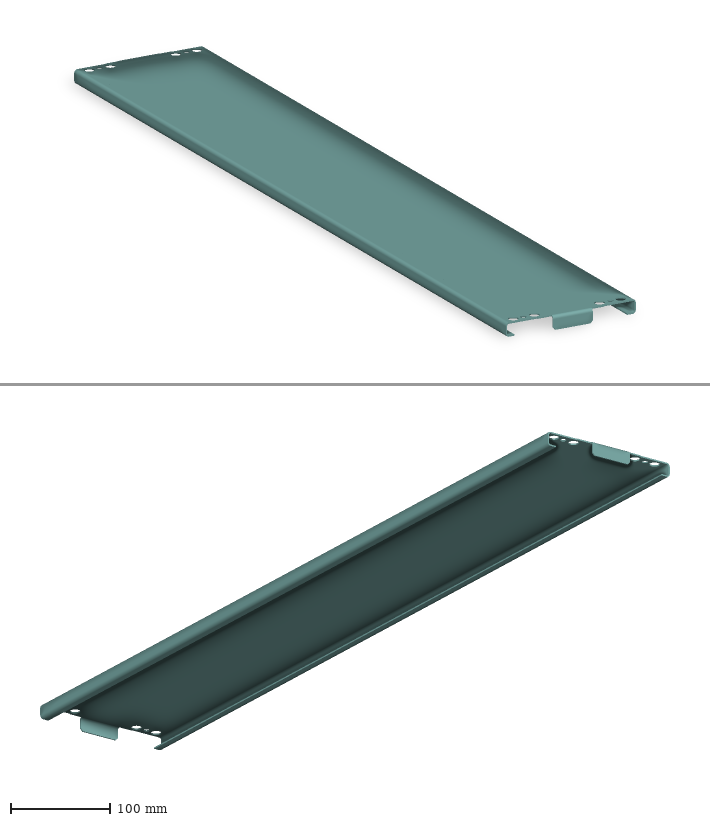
import cadquery as cq

length = 899
width = 150.0
height = 15.0
thickness = 1.5
bend_radius = 4.0

lip_width = 10.0

tab_width = 46.0
tab_corner_cut = 3.0

end_setback = 1.0
setback_start_y = 39.0

hole_x = 437.0
large_hole_diameter = 11.0
small_hole_diameter = 6.0
large_hole_ys = (38.0, 62.0)
small_hole_y = 50.0

inner_radius = bend_radius - thickness
plate_length = length - 2 * bend_radius


def folded_channel():
    """Top sheet with both long sides folded down and then inward."""
    outside = (
        cq.Workplane("XY")
        .box(plate_length, width, height, centered=(True, True, False))
        .edges("|X")
        .fillet(bend_radius)
    )
    hollow = (
        cq.Workplane("XY")
        .workplane(offset=thickness)
        .box(plate_length, width - 2 * thickness, height - 2 * thickness, centered=(True, True, False))
        .edges("|X")
        .fillet(inner_radius)
    )
    opening = cq.Workplane("XY").box(
        plate_length, width - 2 * lip_width, 2 * thickness, centered=(True, True, False)
    )
    return outside.cut(hollow).cut(opening)


def end_setbacks():
    """Cutters that shorten the sheet and its folded sides at all four corners."""
    setback_width = width / 2 - setback_start_y
    centers = [
        (x_side * (plate_length - end_setback) / 2, y_side * (setback_start_y + setback_width / 2))
        for x_side in (-1, 1)
        for y_side in (-1, 1)
    ]
    return (
        cq.Workplane("XY")
        .pushPoints(centers)
        .rect(end_setback, setback_width)
        .extrude(height)
    )


def end_tab():
    """Tab at the +X end, curving down from the top sheet, with cut lower corners."""
    bend_start = plate_length / 2
    bend_center_z = height - bend_radius
    outer_x = length / 2
    tab = (
        cq.Workplane("XZ")
        .moveTo(bend_start, height)
        .radiusArc((outer_x, bend_center_z), bend_radius)
        .lineTo(outer_x, 0)
        .lineTo(outer_x - thickness, 0)
        .lineTo(outer_x - thickness, bend_center_z)
        .radiusArc((bend_start, height - thickness), -inner_radius)
        .close()
        .extrude(tab_width / 2, both=True)
    )
    return tab.faces("<Z").edges("|X").chamfer(tab_corner_cut)


def corner_holes(diameter, y_positions):
    """Cutters through the top sheet only, repeated in all four corners."""
    centers = [
        (x_side * hole_x, y_side * y)
        for x_side in (-1, 1)
        for y_side in (-1, 1)
        for y in y_positions
    ]
    return (
        cq.Workplane("XY")
        .workplane(offset=height)
        .pushPoints(centers)
        .circle(diameter / 2)
        .extrude(-2 * thickness)
    )


tab = end_tab()
result = (
    folded_channel()
    .cut(end_setbacks())
    .union(tab)
    .union(tab.mirror("YZ"))
    .cut(corner_holes(large_hole_diameter, large_hole_ys))
    .cut(corner_holes(small_hole_diameter, (small_hole_y,)))
)